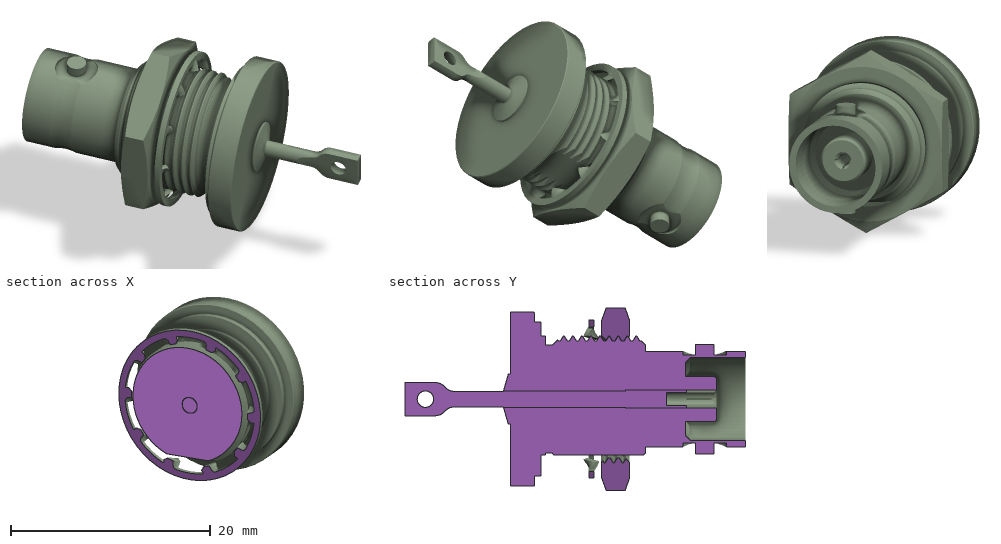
import cadquery as cq
import math


BARREL_DIA = 9.6
BORE_DIA = 8.26
BORE_FLOOR_DIA = 7.3
BORE_DEPTH = 6.0

NOSE_DIA = 4.57
NOSE_CHAMFER = 0.2
NOSE_START = 2.9
DOME_DIA = 5.08
DOME_RIM = 0.2
DOME_END = 24.27

LUG_X = 4.1
LUG_DIA = 1.91
LUG_SPAN = 11.0
SPOT_DIA = 4.3
SPOT_HEIGHT = 4.43
GROOVE_WIDTH = 2.25
GROOVE_DEPTH = 0.16

THREAD_DIA = 12.7
PITCH = 25.4 / 28
ROOT_DIA = 11.72
CREST_FLAT = 0.1
ROOT_FLAT = 0.2
THREAD_START = 10.02
THREAD_END = 19.35
CREST_X = 17.06
FLAT_Z = -5.6

NECK_DIA = 10.88
COLLAR_START = 20.03
STEP_DIA = 15.49
STEP_START = 20.47
FLANGE_DIA = 17.5
FLANGE_START = 21.12
FLANGE_END = 23.57
FLANGE_CHAMFER = 0.08

NUT_START = 11.58
NUT_THICKNESS = 2.86
NUT_FLATS = 15.875
NUT_FACE_DIA = 15.75
NUT_CHAMFER_ANGLE = 20
NUT_COUNTERSINK = 0.5

WASHER_DIA = 15.88
WASHER_BORE = 14.4
WASHER_START = 15.14
WASHER_THICKNESS = 0.56
TOOTH_COUNT = 10
TOOTH_WIDTH = 1.6
TOOTH_ROOT_RADIUS = 7.35
TOOTH_TIP_RADIUS = 6.45
TOOTH_TWIST = 50

SOCKET_DIA = 1.75
SOCKET_BORE_DIA = 1.25
SOCKET_BORE_DEPTH = 5.0
SLOT_WIDTH = 0.2
SLOT_DEPTH = 3.0
SOCKET_END = 12.0
ROD_DIA = 1.6
ROD_END = 29.15
TAG_START = 31.05
TAG_END = 34.11
TAG_DIA = 3.38
TAG_THICKNESS = 0.98
TAG_FLAT_START = 29.7
TAPER_START = 27.75
TAG_HOLE_X = 32.05
TAG_HOLE_DIA = 1.6


def rod(start, end, diameter):
    """Cylinder along X from start to end."""
    return cq.Workplane("YZ", origin=(start, 0, 0)).circle(diameter / 2).extrude(end - start)


def cone(start, end, start_dia, end_dia):
    """Frustum along X whose diameter goes from start_dia to end_dia."""
    profile = (
        cq.Workplane("XY")
        .moveTo(start, 0)
        .lineTo(start, start_dia / 2)
        .lineTo(end, end_dia / 2)
        .lineTo(end, 0)
        .close()
    )
    return revolve_about_x(profile)


def revolve_about_x(profile):
    """Turn a closed (x, radius) profile once about the X axis."""
    return profile.revolve(360, (0, 0, 0), (1, 0, 0))


def helical_groove(start, turns, overrun):
    """V-shaped thread groove coiling about +X, crossing the +Y side at X = start.

    It reaches past the crest by overrun, so that it cuts cleanly through the surface.
    """
    root = ROOT_DIA / 2
    depth = (THREAD_DIA - ROOT_DIA) / 2
    inner_half = ROOT_FLAT / 2
    crest_half = (PITCH - CREST_FLAT) / 2
    outer = root + depth + overrun
    outer_half = crest_half + overrun * (crest_half - inner_half) / depth

    def helix(radius, offset):
        coil = cq.Wire.makeHelix(PITCH, turns * PITCH, radius)
        coil = coil.rotate(cq.Vector(0, 0, 0), cq.Vector(1, 1, 1), 120)
        return coil.translate(cq.Vector(start + offset, 0, 0)).Edges()[0]

    corners = [
        helix(root, -inner_half),
        helix(root, inner_half),
        helix(outer, outer_half),
        helix(outer, -outer_half),
    ]
    faces = [cq.Face.makeRuledSurface(corners[i - 1], corners[i]) for i in range(len(corners))]
    for end in (0, 1):
        points = [corner.positionAt(end) for corner in corners]
        faces.append(cq.Face.makeFromWires(cq.Wire.makePolygon(points, close=True)))
    return cq.Workplane(cq.Solid.makeSolid(cq.Shell.makeShell(faces)).fix())


def make_thread():
    """Threaded length, fully round, with both ends chamfered."""
    turns_before = math.ceil((CREST_X - THREAD_START) / PITCH) + 1
    groove_start = CREST_X - (turns_before + 0.5) * PITCH
    turns = math.ceil((THREAD_END - groove_start) / PITCH) + 1
    blank = rod(THREAD_START, THREAD_END, THREAD_DIA)
    envelope = blank.edges().chamfer((THREAD_DIA - NECK_DIA) / 2)
    groove = helical_groove(groove_start, turns, overrun=0.05)
    return blank.cut(groove).intersect(envelope)


def make_barrel():
    """Barrel with bayonet groove, spot faces and lugs, before boring."""
    barrel = rod(0, THREAD_START, BARREL_DIA)
    half_width = GROOVE_WIDTH / 2
    radius = BARREL_DIA / 2
    groove = (
        cq.Workplane("XY")
        .moveTo(LUG_X - half_width, radius)
        .threePointArc((LUG_X, radius - GROOVE_DEPTH), (LUG_X + half_width, radius))
        .lineTo(LUG_X + half_width, radius + 1)
        .lineTo(LUG_X - half_width, radius + 1)
        .close()
    )
    barrel = barrel.cut(revolve_about_x(groove))
    for side in (1, -1):
        spot = (
            cq.Workplane("XY", origin=(LUG_X, 0, side * SPOT_HEIGHT))
            .circle(SPOT_DIA / 2)
            .extrude(side * BARREL_DIA / 2)
        )
        barrel = barrel.cut(spot)
    lugs = (
        cq.Workplane("XY", origin=(LUG_X, 0, -LUG_SPAN / 2))
        .circle(LUG_DIA / 2)
        .extrude(LUG_SPAN)
    )
    return barrel.union(lugs)


def make_bore():
    """Barrel bore with a coned floor edge, leaving the insulator nose standing in it."""
    taper_start = BORE_DEPTH - (BORE_DIA - BORE_FLOOR_DIA) / 2
    bore = rod(0, taper_start, BORE_DIA).union(
        cone(taper_start, BORE_DEPTH, BORE_DIA, BORE_FLOOR_DIA)
    )
    nose = rod(NOSE_START, BORE_DEPTH, NOSE_DIA).faces("<X").chamfer(NOSE_CHAMFER)
    return bore.cut(nose)


def make_flange():
    """Neck, collar, step and flange behind the thread, and the insulator dome."""
    flange = rod(FLANGE_START, FLANGE_END, FLANGE_DIA).edges().chamfer(FLANGE_CHAMFER)
    dome_edge = FLANGE_END + DOME_RIM
    return (
        rod(THREAD_END, COLLAR_START, NECK_DIA)
        .union(rod(COLLAR_START, STEP_START, THREAD_DIA))
        .union(rod(STEP_START, FLANGE_START, STEP_DIA))
        .union(flange)
        .union(rod(FLANGE_END, dome_edge, DOME_DIA))
        .union(cone(dome_edge, DOME_END, DOME_DIA, ROD_DIA))
    )


def make_housing(thread):
    """Barrel, thread and flange in one piece, with a passage for the contact."""
    below_flat = (
        cq.Workplane("XY", origin=(0, 0, FLAT_Z))
        .rect(2 * STEP_START, THREAD_DIA)
        .extrude(-THREAD_DIA)
    )
    housing = (
        make_barrel().cut(make_bore())
        .union(thread.cut(below_flat))
        .union(make_flange().cut(below_flat))
    )
    passage = rod(NOSE_START, SOCKET_END, SOCKET_DIA).union(rod(SOCKET_END, DOME_END, ROD_DIA))
    return housing.cut(passage)


def make_nut(thread):
    """Hex nut with corners at top and bottom, both ends coned, fitted to the thread."""
    corner_dia = NUT_FLATS / math.cos(math.radians(30))
    nut = (
        cq.Workplane("YZ", origin=(NUT_START, 0, 0))
        .polygon(6, corner_dia)
        .extrude(NUT_THICKNESS)
        .rotate((0, 0, 0), (1, 0, 0), 90)
    )
    end = NUT_START + NUT_THICKNESS
    bevel = (corner_dia - NUT_FACE_DIA) / 2 * math.tan(math.radians(NUT_CHAMFER_ANGLE))
    envelope = (
        cone(NUT_START, NUT_START + bevel, NUT_FACE_DIA, corner_dia)
        .union(rod(NUT_START + bevel, end - bevel, corner_dia))
        .union(cone(end - bevel, end, corner_dia, NUT_FACE_DIA))
    )
    inner_dia = THREAD_DIA - 2 * NUT_COUNTERSINK
    front_sink = cone(NUT_START, NUT_START + NUT_COUNTERSINK, THREAD_DIA, inner_dia)
    back_sink = cone(end - NUT_COUNTERSINK, end, inner_dia, THREAD_DIA)
    return nut.intersect(envelope).cut(thread).cut(front_sink).cut(back_sink)


def make_washer():
    """Flat ring with teeth that twist as they reach inward."""
    washer = rod(WASHER_START, WASHER_START + WASHER_THICKNESS, WASHER_DIA).cut(
        rod(WASHER_START, WASHER_START + WASHER_THICKNESS, WASHER_BORE)
    )
    middle = WASHER_START + WASHER_THICKNESS / 2
    tooth = (
        cq.Workplane("XZ", origin=(middle, -TOOTH_ROOT_RADIUS, 0))
        .rect(WASHER_THICKNESS, TOOTH_WIDTH)
        .twistExtrude(TOOTH_TIP_RADIUS - TOOTH_ROOT_RADIUS, TOOTH_TWIST)
    )
    for i in range(TOOTH_COUNT):
        washer = washer.union(tooth.rotate((0, 0, 0), (1, 0, 0), i * 360 / TOOTH_COUNT))
    return washer


def make_contact():
    """Slotted socket at the front, round rod, and a flattened tag with a hole at the back."""
    rod_radius = ROD_DIA / 2
    tag_radius = TAG_DIA / 2
    swell = ((ROD_END + TAG_START) / 2, (rod_radius + tag_radius) / 2)
    outline = (
        cq.Workplane("XY")
        .moveTo(NOSE_START, 0)
        .lineTo(NOSE_START, SOCKET_DIA / 2)
        .lineTo(SOCKET_END, SOCKET_DIA / 2)
        .lineTo(SOCKET_END, rod_radius)
        .lineTo(ROD_END, rod_radius)
        .tangentArcPoint(swell, relative=False)
        .tangentArcPoint((TAG_START, tag_radius), relative=False)
        .lineTo(TAG_END, tag_radius)
        .lineTo(TAG_END, 0)
        .close()
    )
    contact = revolve_about_x(outline)

    half = TAG_THICKNESS / 2
    rise = rod_radius - half
    run = TAG_FLAT_START - TAPER_START
    arc_radius = (run**2 + rise**2) / (2 * rise)
    mid_x = TAG_FLAT_START - run / 2
    mid_y = half + arc_radius - math.sqrt(arc_radius**2 - (run / 2) ** 2)
    for side in (1, -1):
        flat = (
            cq.Workplane("XY", origin=(0, 0, -tag_radius))
            .moveTo(TAPER_START, side * rod_radius)
            .threePointArc((mid_x, side * mid_y), (TAG_FLAT_START, side * half))
            .lineTo(TAG_END, side * half)
            .lineTo(TAG_END, side * tag_radius)
            .lineTo(TAPER_START, side * tag_radius)
            .close()
            .extrude(TAG_DIA)
        )
        contact = contact.cut(flat)

    tag_hole = (
        cq.Workplane("XZ", origin=(TAG_HOLE_X, half, 0))
        .circle(TAG_HOLE_DIA / 2)
        .extrude(TAG_THICKNESS)
    )
    mouth_depth = (SOCKET_DIA - SOCKET_BORE_DIA) / 2
    socket = rod(NOSE_START, NOSE_START + SOCKET_BORE_DEPTH, SOCKET_BORE_DIA).union(
        cone(NOSE_START, NOSE_START + mouth_depth, SOCKET_DIA, SOCKET_BORE_DIA)
    )
    slot = cq.Workplane("XY").box(SLOT_DEPTH, SLOT_WIDTH, SOCKET_DIA).translate(
        (NOSE_START + SLOT_DEPTH / 2, 0, 0)
    )
    crossed_slot = slot.rotate((0, 0, 0), (1, 0, 0), 90)
    return contact.cut(tag_hole).cut(socket).cut(slot).cut(crossed_slot)


thread = make_thread()
housing = make_housing(thread)
nut = make_nut(thread)
washer = make_washer()
contact = make_contact()
result = cq.Compound.makeCompound(
    [body.solids().val() for body in (housing, nut, washer, contact)]
)